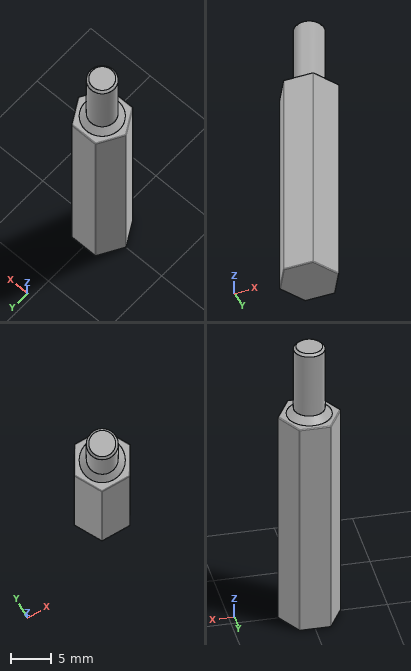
import cadquery as cq
import math

across_flats = 7.0
across_corners = across_flats / math.cos(math.radians(30))
body_height = 30.0
edge_fillet = 0.1

total_height = 40.0
stud_radius = 2.0
cone_base_radius = 2.9
cone_height = 0.9
tip_chamfer_width = 0.3
tip_chamfer_height = 0.3


def hex_body():
    """Hexagonal prism with every edge slightly rounded."""
    prism = cq.Workplane("XY").polygon(6, across_corners).extrude(body_height)
    return prism.edges().fillet(edge_fillet)


def stud():
    """Revolved stud standing on the top face of the body."""
    cone_top = body_height + cone_height
    profile = [
        (0, body_height),
        (cone_base_radius, body_height),
        (stud_radius, cone_top),
        (stud_radius, total_height - tip_chamfer_height),
        (stud_radius - tip_chamfer_width, total_height),
        (0, total_height),
    ]
    half_section = cq.Workplane("XZ").polyline(profile).close()
    return half_section.revolve(360, (0, 0, 0), (0, 1, 0))


result = hex_body().union(stud())